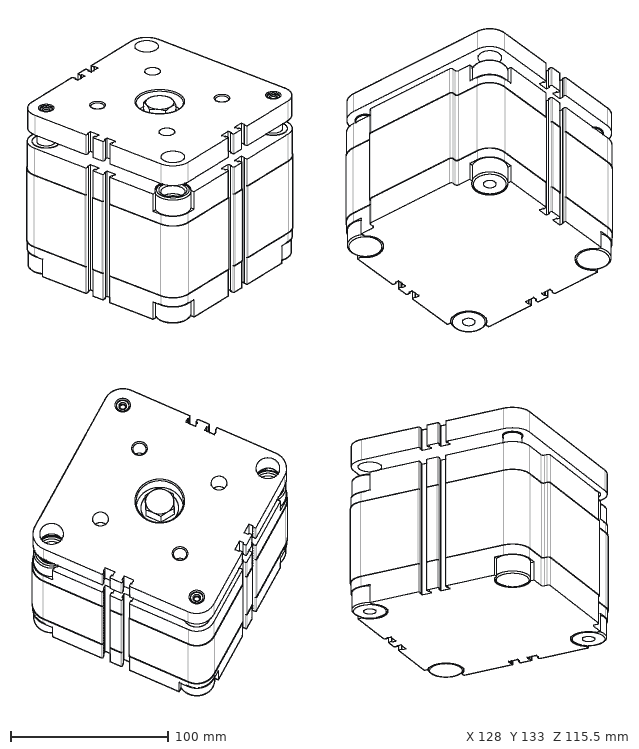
import cadquery as cq
import math

cap_height = 19.5
housing_height = 91.4
stroke_gap = 9.7
total_height = 115.5
plate_bottom = housing_height + stroke_gap
plate_thickness = total_height - plate_bottom

barrel_half = 64.0
cap_inset = 0.4
corner_radius = 12.5
corner_pitch = barrel_half - corner_radius

rear_reach = 69.0
rib_half_width = 34.5
rib_edge_radius = 1.5

slot_inner = 3.3
slot_outer = 10.1
mouth_inner = 4.3
mouth_outer = 9.5
slot_floor = 58.3
lip_back = 61.0
lip_radius = 0.5

notch_start = 45.0
notch_height = 12.6
boss_diameter = 23.0
boss_chamfer = 1.0

through_diameter = 8.0
through_chamfer = 1.0
counterbore_diameter = 15.4
counterbore_depth = 7.0
bushing_diameter = 18.0
bushing_recess = 0.3

rod_diameter = 25.0
flat_distance = 22.0
flat_clearance = 1.3

guide_diameter = 12.0
collar_diameter = 13.0
collar_height = 0.5

plate_half = 63.5
plate_corner_radius = 12.2
access_diameter = 15.0
thread_pitch = 28.2
thread_diameter = 10.0
thread_core_diameter = 8.4
nut_recess_diameter = 30.0
nut_recess_depth = 9.8
nut_recess_chamfer = 0.8

nut_width = 18.0
nut_drop = 0.7
nut_chamfer_angle = 30.0
washer_diameter = 24.0
washer_height = 0.5

screw_recess_diameter = 9.8
screw_recess_core = 8.0
screw_recess_depth = 1.3
screw_recess_chamfer = 0.4
screw_socket_diameter = 5.0
screw_socket_core = 3.7
screw_socket_chamfer = 0.7
screw_socket_depth = 2.0

guide_corners = [(-corner_pitch, -corner_pitch), (corner_pitch, corner_pitch)]
mount_corners = [(-corner_pitch, corner_pitch), (corner_pitch, -corner_pitch)]
all_corners = guide_corners + mount_corners


def cylinder(diameter, height, base, center=(0, 0)):
    """Upright cylinder whose lower face lies at height base."""
    return cq.Workplane("XY", origin=(*center, base)).circle(diameter / 2).extrude(height)


def cone(lower_diameter, upper_diameter, height, base, center=(0, 0)):
    """Upright truncated cone whose lower face lies at height base."""
    solid = cq.Solid.makeCone(
        lower_diameter / 2, upper_diameter / 2, height, cq.Vector(*center, base)
    )
    return cq.Workplane(solid)


def rounded_square(half, radius, height, base):
    square = cq.Workplane("XY", origin=(0, 0, base)).rect(2 * half, 2 * half).extrude(height)
    return square.edges("|Z").fillet(radius)


def cut_slots(block, half, height, base):
    """Cut a pair of T-slots with rounded lips into the left, right and front sides."""
    reach = half + 1.3
    for turn in (-90, 0, 90):
        for side in (-1, 1):
            groove = (
                cq.Workplane("XY", origin=(0, 0, base))
                .moveTo(side * slot_inner, -slot_floor)
                .lineTo(side * slot_outer, -slot_floor)
                .lineTo(side * slot_outer, -lip_back)
                .lineTo(side * mouth_outer, -lip_back)
                .lineTo(side * mouth_outer, -half + lip_radius)
                .radiusArc((side * (mouth_outer + lip_radius), -half), -side * lip_radius)
                .lineTo(side * (mouth_outer + lip_radius), -reach)
                .lineTo(side * (mouth_inner - lip_radius), -reach)
                .lineTo(side * (mouth_inner - lip_radius), -half)
                .radiusArc((side * mouth_inner, -half + lip_radius), -side * lip_radius)
                .lineTo(side * mouth_inner, -lip_back)
                .lineTo(side * slot_inner, -lip_back)
                .close()
                .extrude(height)
            )
            block = block.cut(groove.rotate((0, 0, 0), (0, 0, 1), turn))
    return block


def housing_section(inset, height, base):
    """Slice of the housing with its rear rib, drawn in from the barrel by inset."""
    half = barrel_half - inset
    section = rounded_square(half, corner_radius - inset, height, base)
    rib_width = 2 * (rib_half_width - inset)
    rib_top = rear_reach - inset
    rib = (
        cq.Workplane("XY", origin=(0, 0, base))
        .center(0, rib_top / 2)
        .rect(rib_width, rib_top)
        .extrude(height)
        .edges("|Z and >Y")
        .fillet(rib_edge_radius)
    )
    section = section.union(rib)
    root_edges = cq.selectors.BoxSelector(
        (-rib_width, half - inset / 2 - 0.1, base - 1.3),
        (rib_width, half + 0.1, base + height + 1.3),
    )
    section = section.edges("|Z").edges(root_edges).fillet(rib_edge_radius)
    return cut_slots(section, half, height, base)


def corner_notch(center):
    """Waste around the round boss at a lower corner, with the groove left by the boss's chamfer."""
    side = 2 * (barrel_half - notch_start)
    block = (
        cq.Workplane("XY")
        .center(*(math.copysign(notch_start + side / 2, c) for c in center))
        .rect(side, side)
        .extrude(notch_height)
    )
    boss = cylinder(boss_diameter, notch_height, 0, center).faces("<Z").chamfer(boss_chamfer)
    rim = cylinder(boss_diameter, boss_chamfer, 0, center)
    return block.union(rim).cut(boss)


def make_housing():
    housing = housing_section(cap_inset, housing_height, 0)
    housing = housing.union(housing_section(0, housing_height - 2 * cap_height, cap_height))

    for center in all_corners:
        housing = housing.cut(corner_notch(center))

    middle = (0, 0, housing_height / 2)
    for center in mount_corners:
        housing = housing.cut(corner_notch(center).mirror("XY", middle))
        housing = housing.cut(cylinder(through_diameter, housing_height, 0, center))
        floor = housing_height - counterbore_depth
        housing = housing.cut(cylinder(counterbore_diameter, counterbore_depth, floor, center))
        countersink_diameter = through_diameter + 2 * through_chamfer
        countersink_base = floor - through_chamfer
        housing = housing.cut(
            cone(through_diameter, countersink_diameter, through_chamfer, countersink_base, center)
        )
        entry_depth = (bushing_diameter - counterbore_diameter) / 2
        entry_base = housing_height - entry_depth
        housing = housing.cut(
            cone(counterbore_diameter, bushing_diameter, entry_depth, entry_base, center)
        )

    bore_base = housing_height - cap_height
    recess_base = housing_height - bushing_recess
    for center in guide_corners:
        housing = housing.cut(cylinder(bushing_diameter, bushing_recess, recess_base, center))
        housing = housing.cut(cylinder(guide_diameter, cap_height, bore_base, center))
    return housing.cut(cylinder(rod_diameter, cap_height, bore_base))


def make_plate():
    plate = rounded_square(plate_half, plate_corner_radius, plate_thickness, plate_bottom)
    plate = cut_slots(plate, plate_half, plate_thickness, plate_bottom)
    for center in mount_corners:
        plate = plate.cut(cylinder(access_diameter, plate_thickness, plate_bottom, center))
    chamfer = (thread_diameter - thread_core_diameter) / 2
    for side in (-1, 1):
        plain_center = (side * thread_pitch, -side * thread_pitch)
        plate = plate.cut(cylinder(thread_diameter, plate_thickness, plate_bottom, plain_center))
        thread_center = (side * thread_pitch, side * thread_pitch)
        plate = plate.cut(cylinder(thread_core_diameter, plate_thickness, plate_bottom, thread_center))
        countersink = cone(
            thread_core_diameter, thread_diameter, chamfer, total_height - chamfer, thread_center
        )
        plate = plate.cut(countersink)

    plate = plate.cut(cylinder(nut_recess_diameter, nut_recess_depth, total_height - nut_recess_depth))
    rim = cone(
        nut_recess_diameter,
        nut_recess_diameter + 2 * nut_recess_chamfer,
        nut_recess_chamfer,
        total_height - nut_recess_chamfer,
    )
    return plate.cut(rim)


def screw_recess(center):
    """Sunk screw head with a countersunk drive socket."""
    floor = total_height - screw_recess_depth
    recess = cylinder(screw_recess_core, screw_recess_depth, floor, center)
    recess = recess.union(
        cone(screw_recess_core, screw_recess_diameter, screw_recess_chamfer,
             total_height - screw_recess_chamfer, center)
    )
    recess = recess.union(cylinder(screw_socket_core, screw_socket_depth, floor - screw_socket_depth, center))
    return recess.union(
        cone(screw_socket_core, screw_socket_diameter, screw_socket_chamfer,
             floor - screw_socket_chamfer, center)
    )


def make_nut():
    """Hexagonal nut on a washer, its upper corners turned down to a cone."""
    floor = total_height - nut_recess_depth
    height = nut_recess_depth - nut_drop
    corner_diameter = nut_width / math.cos(math.radians(30))
    hexagon = (
        cq.Workplane("XY", origin=(0, 0, floor))
        .transformed(rotate=(0, 0, 30))
        .polygon(6, corner_diameter)
        .extrude(height)
    )
    drop = (corner_diameter - nut_width) / 2 * math.tan(math.radians(nut_chamfer_angle))
    turned = cylinder(corner_diameter, height - drop, floor)
    turned = turned.union(cone(corner_diameter, nut_width, drop, floor + height - drop))
    return hexagon.intersect(turned).union(cylinder(washer_diameter, washer_height, floor))


def make_rod():
    bottom = housing_height - cap_height
    rod = cylinder(rod_diameter, plate_bottom - bottom, bottom)
    flats_base = housing_height + flat_clearance
    flats_height = plate_bottom - flats_base
    flats = (
        cq.Workplane("XY", origin=(0, 0, flats_base))
        .rect(2 * rod_diameter, 2 * rod_diameter)
        .rect(2 * rod_diameter, flat_distance)
        .extrude(flats_height)
    )
    return rod.cut(flats)


def make_piston_unit():
    unit = make_plate().union(make_rod()).union(make_nut())
    bottom = housing_height - cap_height
    for center in guide_corners:
        unit = unit.union(cylinder(guide_diameter, plate_bottom - bottom, bottom, center))
        unit = unit.union(cylinder(collar_diameter, collar_height, plate_bottom - collar_height, center))
        unit = unit.cut(screw_recess(center))
    return unit


housing = make_housing()
piston_unit = make_piston_unit()

result = cq.Compound.makeCompound([housing.val(), piston_unit.val()])